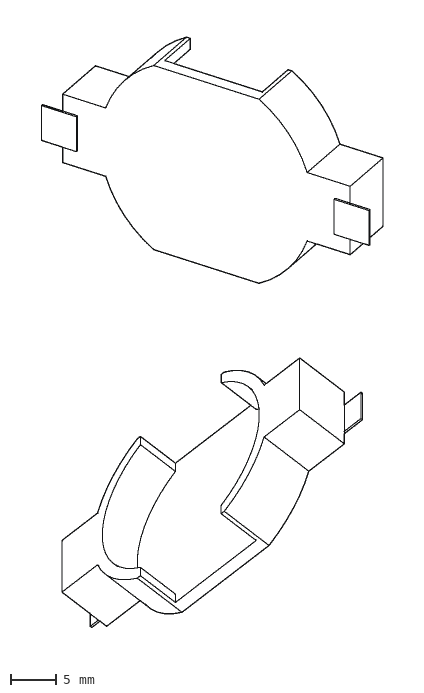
import cadquery as cq

total_length = 42.5
body_height = 24.0
body_depth = 7.0
pad_thickness = 0.25

body_radius = 13.8
block_length = 37.3
block_height = 8.92

floor_thickness = 1.55
recess_radius = 12.32
slot_width = 12.65

pad_size = 4.55



def round_plate(radius, front, back):
    """Disc about the Y axis between two Y positions."""
    plane = cq.Workplane("XZ", origin=(0, front, 0))
    return plane.circle(radius).extrude(front - back)


def make_body():
    """Disc trimmed by two flats, joined to the end blocks."""
    trim = cq.Workplane("XY").box(total_length, 2 * body_depth, body_height)
    disc = round_plate(body_radius, 0, body_depth).intersect(trim)
    blocks = cq.Workplane("XY").box(
        block_length, body_depth, block_height, centered=(True, False, True)
    )
    return disc.union(blocks)


def make_recess():
    """Coin space above the floor: a round pocket crossed by a vertical slot."""
    slot = cq.Workplane("XY", origin=(0, floor_thickness, 0)).box(
        slot_width, body_depth - floor_thickness, body_height, centered=(True, False, True)
    )
    return round_plate(recess_radius, floor_thickness, body_depth).union(slot)


def make_pad(side):
    """Solder pad reaching past the end block on one side (-1 or +1)."""
    centre_x = side * (total_length - pad_size) / 2
    return cq.Workplane("XY").box(pad_size, pad_thickness, pad_size).translate(
        (centre_x, -pad_thickness / 2, 0)
    )


result = make_body().cut(make_recess())
for side in (-1, 1):
    result = result.union(make_pad(side))